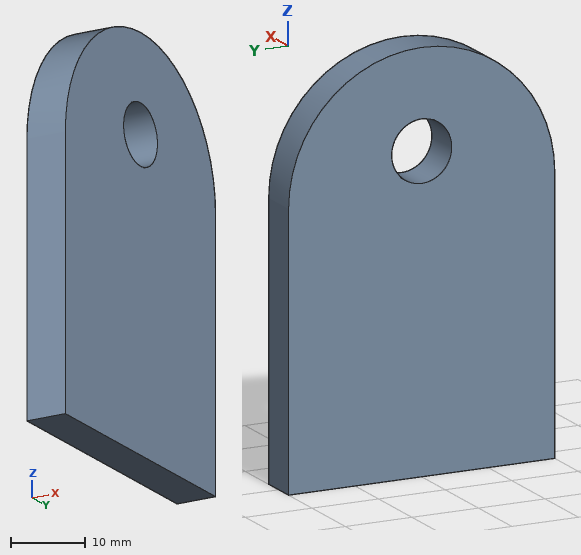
import cadquery as cq

thickness = 6.0
width = 40.0
height = 60.0
hole_diameter = 9.0
hole_edge_wall = 10.0

crown_radius = width / 2
shoulder_height = height - crown_radius
hole_height = height - hole_edge_wall - hole_diameter / 2


def side_plane():
    """YZ workplane on the -X face of the plate, so the plate is centred on X."""
    return cq.Workplane("YZ", origin=(-thickness / 2, 0, 0))


def make_plate():
    """Upright plate with a flat base and a full-round top, centred on Y."""
    return (
        side_plane()
        .moveTo(-width / 2, 0)
        .lineTo(width / 2, 0)
        .lineTo(width / 2, shoulder_height)
        .threePointArc((0, height), (-width / 2, shoulder_height))
        .close()
        .extrude(thickness)
    )


def make_hole_cutter():
    """Cylinder along X that spans the full plate thickness."""
    return (
        side_plane()
        .center(0, hole_height)
        .circle(hole_diameter / 2)
        .extrude(thickness)
    )


result = make_plate().cut(make_hole_cutter())